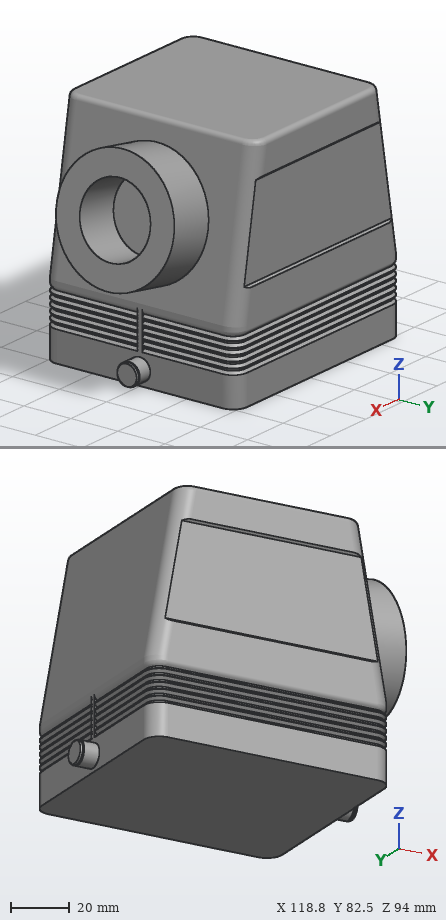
import cadquery as cq
import math

body_length = 93.5
body_width = 82.5
body_height = 94.0
taper_start = 30.0
taper_angle = 10.0
corner_radius = 6.0
top_edge_radius = 2.0

groove_count = 6
groove_pitch = 2.5
groove_depth = 1.1
groove_bottom = 12.5
crest_flat = 0.2
shoulder_radius = 1.8
rib_width = 2.0

recess_bottom = 43.6
recess_top = 80.3
recess_depth = 0.8

pin_reach = 54.0
pin_diameter = 9.0
pin_height = 6.1
pin_head_length = 1.3
pin_tip_length = 0.7
pin_inset = 0.4

overall_length = 118.8
boss_diameter = 50.0
bore_diameter = 30.0
boss_length = 19.3
boss_face_height = 64.3

half_length = body_length / 2
half_width = body_width / 2
tilt = math.radians(taper_angle)
top_half_length = half_length - (body_height - taper_start) * math.tan(tilt)


def make_body():
    side_profile = [
        (-half_length, 0),
        (half_length, 0),
        (half_length, taper_start),
        (top_half_length, body_height),
        (-top_half_length, body_height),
        (-half_length, taper_start),
    ]
    block = cq.Workplane("XZ").polyline(side_profile).close().extrude(half_width, both=True)
    rounded = block.edges("not(#Z or |Y)").fillet(corner_radius)
    return rounded.faces(">Z").edges().fillet(top_edge_radius)


def base_outline(inset):
    """Rounded rectangle of the base, shrunk evenly by inset."""
    return (
        cq.Sketch()
        .rect(body_length - 2 * inset, body_width - 2 * inset)
        .vertices()
        .fillet(corner_radius - inset)
    )


def base_slice(z_start, inset_start, z_end, inset_end):
    """Slice of the base whose inset changes linearly from one height to the other."""
    rise = cq.Location(cq.Vector(0, 0, z_end - z_start))
    lower = base_outline(inset_start)
    upper = base_outline(inset_end).moved(rise)
    return cq.Workplane("XY", origin=(0, 0, z_start)).placeSketch(lower, upper).loft()


def groove_cutter(z_bottom, round_shoulder):
    """V-shaped ring around the base, optionally easing into the wall above it."""
    z_top = z_bottom + groove_pitch - crest_flat
    z_root = (z_bottom + z_top) / 2
    z_slab_top = z_top
    lower_core = base_slice(z_bottom, 0, z_root, groove_depth)
    upper_core = base_slice(z_root, groove_depth, z_top, 0)
    if round_shoulder:
        z_slab_top = taper_start
        wall = base_slice(z_top, 0, z_slab_top, 0)
        shoulder = cq.selectors.BoxSelector(
            (-body_length, -body_width, z_top - crest_flat),
            (body_length, body_width, z_top + crest_flat),
        )
        upper_core = upper_core.union(wall).edges(shoulder).fillet(shoulder_radius)
    slab = (
        cq.Workplane("XY", origin=(0, 0, z_bottom))
        .rect(2 * body_length, 2 * body_width)
        .extrude(z_slab_top - z_bottom)
    )
    return slab.cut(lower_core).cut(upper_core)


def cut_grooves(body):
    end_ribs = cq.Workplane("XY").box(2 * body_length, rib_width, 2 * body_height)
    for index in range(groove_count):
        is_top_groove = index == groove_count - 1
        cutter = groove_cutter(groove_bottom + index * groove_pitch, is_top_groove)
        body = body.cut(cutter.cut(end_ribs))
    return body


def cut_recesses(body):
    floor = half_width - recess_depth
    clearance = 1.2
    flare = recess_depth + clearance
    recess_profile = [
        (floor, recess_bottom),
        (floor, recess_top),
        (floor + flare, recess_top + flare),
        (floor + flare, recess_bottom - flare),
    ]
    recess = cq.Workplane("YZ").polyline(recess_profile).close().extrude(half_length, both=True)
    return body.cut(recess).cut(recess.mirror("XZ"))


def make_pins():
    radius = pin_diameter / 2
    half_profile = [
        (0, 0),
        (pin_reach, 0),
        (pin_reach, radius - pin_inset),
        (pin_reach - pin_tip_length, radius),
        (pin_reach - pin_head_length, radius - pin_inset),
        (pin_reach - pin_head_length, radius),
        (0, radius),
    ]
    pin = (
        cq.Workplane("XY")
        .polyline(half_profile)
        .close()
        .revolve(360, (0, 0, 0), (1, 0, 0))
        .translate((0, 0, pin_height))
    )
    return pin.union(pin.mirror("YZ"))


def boss_face_plane():
    face_x = overall_length - pin_reach - boss_diameter / 2 * math.sin(tilt)
    return cq.Plane(
        origin=(face_x, 0, boss_face_height),
        xDir=(0, 1, 0),
        normal=(math.cos(tilt), 0, math.sin(tilt)),
    )


def add_boss(body):
    face = cq.Workplane(boss_face_plane())
    overlap = 1.2
    boss = face.circle(boss_diameter / 2).extrude(-(boss_length + overlap))
    bore = face.circle(bore_diameter / 2).extrude(-boss_length)
    return body.union(boss).cut(bore)


hood = cut_recesses(cut_grooves(make_body()))
result = add_boss(hood.union(make_pins()))